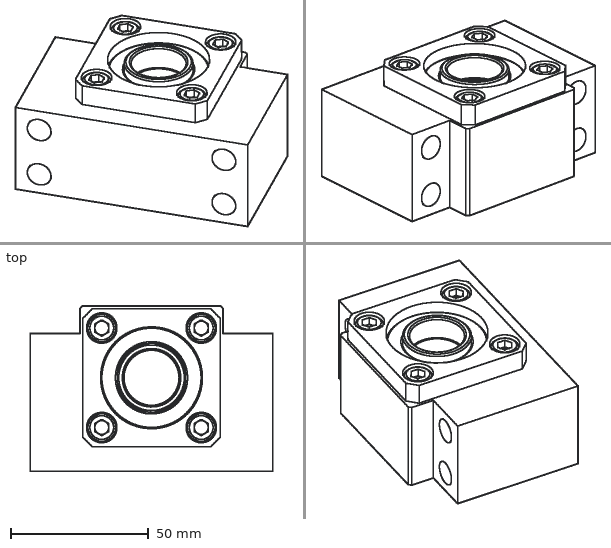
import cadquery as cq
import math


housing_width = 88.0
housing_thickness = 35.0
base_drop = 34.0
shoulder_rise = 16.1
crown_rise = 26.05
crown_width = 52.0
crown_chamfer = 1.0

mount_hole_diameter = 9.0
mount_pitch_x = 70.0
mount_pitch_z = 19.0

cover_side = 50.0
cover_thickness = 8.0
cover_corner_chamfer = 3.5
cover_bore_diameter = 37.0

screw_pitch = 36.1
shank_diameter = 6.0
shank_length = 12.0
head_diameter = 10.0
head_height = 6.0
head_sink = 0.5
head_chamfer = 0.7
counterbore_diameter = 11.0
socket_flats = 5.0
socket_depth = 3.0
socket_cone_slope = 30.0
socket_sides = 6

bore_diameter = 20.0
collar_diameter = 25.0
collar_sink = 1.0
collar_length = 9.0
collar_chamfer = 0.6
bore_chamfer = 0.6
joint_chamfer = 0.3

seal_sink = 4.1
seal_outer_chamfer = 0.48
seal_inner_chamfer = 0.6

cover_top = housing_thickness + cover_thickness
head_top = cover_top - head_sink
head_bottom = head_top - head_height
shank_bottom = head_bottom - shank_length
socket_bottom = head_top - socket_depth
collar_top = cover_top - collar_sink
collar_bottom = collar_top - collar_length
seal_top = cover_top - seal_sink

screw_offset = screw_pitch / 2
screw_centers = [(x, y) for x in (-screw_offset, screw_offset) for y in (-screw_offset, screw_offset)]

smallest_edge = cq.selectors.RadiusNthSelector(0)
largest_edge = cq.selectors.RadiusNthSelector(-1)


def cylinder(diameter, bottom, top, center=(0, 0)):
    return cq.Workplane("XY", origin=(*center, bottom)).circle(diameter / 2).extrude(top - bottom)


def tube(outer_diameter, inner_diameter, bottom, top):
    return cylinder(outer_diameter, bottom, top).cut(cylinder(inner_diameter, bottom, top))


def housing_block(width, rise):
    """Block from the base face up to the given rise above the bore axis."""
    height = base_drop + rise
    block = cq.Workplane("XY", origin=(0, -base_drop, 0))
    return block.box(width, height, housing_thickness, centered=(True, False, False))


def make_housing():
    crown = housing_block(crown_width, crown_rise).edges("|Z and >Y").chamfer(crown_chamfer)
    body = housing_block(housing_width, shoulder_rise).union(crown)
    mount_holes = (
        cq.Workplane("XZ", origin=(0, crown_rise, housing_thickness / 2))
        .rarray(mount_pitch_x, mount_pitch_z, 2, 2)
        .circle(mount_hole_diameter / 2)
        .extrude(crown_rise + base_drop)
    )
    body = body.cut(mount_holes)
    body = body.cut(cylinder(collar_diameter, 0, housing_thickness))
    for center in screw_centers:
        body = body.cut(cylinder(shank_diameter, shank_bottom, housing_thickness, center))
    return body


def make_cover():
    plate = cq.Workplane("XY", origin=(0, 0, housing_thickness)).rect(cover_side, cover_side)
    plate = plate.extrude(cover_thickness).edges("|Z").chamfer(cover_corner_chamfer)
    plate = plate.cut(cylinder(cover_bore_diameter, housing_thickness, cover_top))
    for center in screw_centers:
        plate = plate.cut(cylinder(shank_diameter, housing_thickness, head_bottom, center))
        plate = plate.cut(cylinder(counterbore_diameter, head_bottom, cover_top, center))
    return plate


def make_socket(center):
    """Hexagonal socket, with corners toward +Y and -Y and a conical bottom."""
    hexagon = (
        cq.Workplane("XY", origin=(*center, socket_bottom))
        .polygon(socket_sides, socket_flats, circumscribed=True)
        .extrude(socket_depth)
    )
    cone_radius = socket_flats / 2
    cone_height = cone_radius * math.tan(math.radians(socket_cone_slope))
    cone_tip = cq.Vector(*center, socket_bottom - cone_height)
    return hexagon.union(cq.Workplane(cq.Solid.makeCone(0, cone_radius, cone_height, pnt=cone_tip)))


def make_screw(center):
    head = cylinder(head_diameter, head_bottom, head_top, center).faces(">Z").edges().chamfer(head_chamfer)
    shank = cylinder(shank_diameter, shank_bottom, head_bottom, center)
    return head.union(shank).cut(make_socket(center))


def make_seal():
    ring = tube(cover_bore_diameter, collar_diameter, housing_thickness, seal_top)
    ring = ring.faces(">Z").edges(largest_edge).chamfer(seal_outer_chamfer)
    return ring.faces(">Z").edges(smallest_edge).chamfer(seal_inner_chamfer)


def make_collar():
    ring = tube(collar_diameter, bore_diameter, collar_bottom, collar_top)
    ring = ring.faces(">Z").edges(largest_edge).chamfer(collar_chamfer)
    ring = ring.faces(">Z").edges(smallest_edge).chamfer(bore_chamfer)
    return ring.faces("<Z").edges(smallest_edge).chamfer(joint_chamfer)


def make_sleeve():
    sleeve_body = tube(collar_diameter, bore_diameter, 0, collar_bottom)
    return sleeve_body.faces(">Z").edges(smallest_edge).chamfer(joint_chamfer)


housing = make_housing()
cover = make_cover()
seal = make_seal()
collar = make_collar()
sleeve = make_sleeve()
screws = [make_screw(center).val() for center in screw_centers]

result = cq.Compound.makeCompound(
    [housing.val(), cover.val(), seal.val(), collar.val(), sleeve.val(), *screws]
)